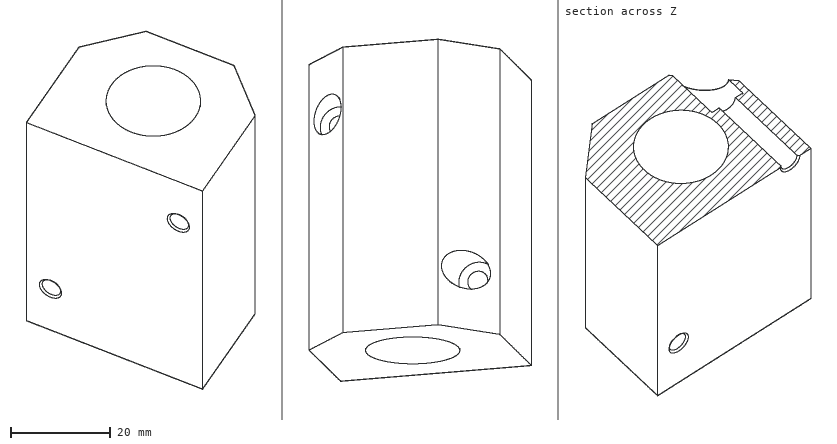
import cadquery as cq

height = 60.0
width = 40.0
depth = 33.0
corner_chamfer = 10.0

bore_diameter = 19.0
bore_from_front = 17.0

screw_diameter = 4.2
countersink_diameter = 5.05
countersink_depth = (countersink_diameter - screw_diameter) / 2
screw_offset = 14.5
lower_screw_height = 12.5
upper_screw_height = 47.5

pocket_diameter = 8.0
pocket_floor = 20.0


def make_block():
    block = cq.Workplane("XY").box(width, depth, height, centered=(True, False, False))
    return block.edges("|Z and >Y").chamfer(corner_chamfer)


def make_bore():
    return cq.Workplane("XY").center(0, bore_from_front).circle(bore_diameter / 2).extrude(height)


def cylinder_along_y(x, z, diameter, start, end):
    return cq.Workplane(
        cq.Solid.makeCylinder(diameter / 2, end - start, cq.Vector(x, start, z), cq.Vector(0, 1, 0))
    )


def make_screw_hole(x, z):
    shank = cylinder_along_y(x, z, screw_diameter, 0, depth)
    pocket = cylinder_along_y(x, z, pocket_diameter, pocket_floor, depth)
    countersink = cq.Workplane(
        cq.Solid.makeCone(
            countersink_diameter / 2,
            screw_diameter / 2,
            countersink_depth,
            cq.Vector(x, 0, z),
            cq.Vector(0, 1, 0),
        )
    )
    return shank.union(pocket).union(countersink)


result = make_block().cut(make_bore())
for x, z in ((-screw_offset, lower_screw_height), (screw_offset, upper_screw_height)):
    result = result.cut(make_screw_hole(x, z))